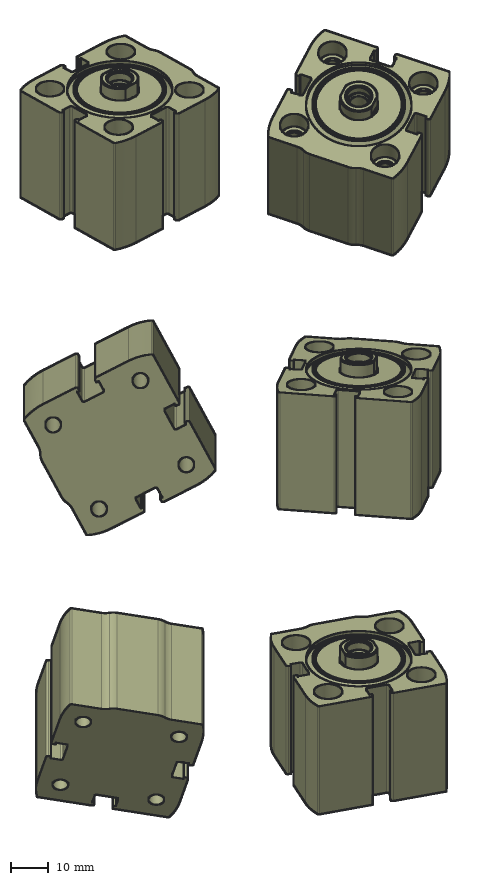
import cadquery as cq
import math

total_height = 37.0
housing_height = 33.5
housing_width = 38.5
housing_length = 39.5

side_flat_half = 12.7
side_arc_radius = 16.0
corner_radius = 0.5
ridge_top_half = 5.53
ridge_foot_half = 9.48

slot_neck_width = 5.0
slot_width = 6.4
slot_depth = 4.5
slot_lip = 1.25
slot_fillet = 0.5
lip_fillet = 0.5

mount_offset = 13.0
mount_hole_diameter = 4.15
mount_chamfer_diameter = 5.0
counterbore_diameter = 7.5
counterbore_depth = 5.53

recess_diameter = 27.8
crest_diameter = 24.5
groove_bottom_diameter = 23.85
rim_diameter = 23.05
cap_diameter = 22.67
cap_drop = 0.2
cone_drop = 1.05
groove_drop = 0.15

rod_diameter = 10.0
shank_diameter = 10.27
rod_flat_width = 9.0
rod_chamfer = 0.25
shoulder_depth = 0.4
rod_length = 19.75
thread_entry_diameter = 7.2
thread_relief_diameter = 6.4
thread_relief_depth = 2.7
thread_diameter = 4.9
thread_step_diameter = 6.0
thread_depth = 12.0
drill_point_angle = 118.0

half_width = housing_width / 2
ridge_height = housing_length - housing_width
rod_bottom = total_height - rod_length
cap_z = housing_height - cap_drop
rod_radius = rod_diameter / 2
shank_radius = shank_diameter / 2
rod_flat_half = rod_flat_width / 2
shoulder_top = cap_z - shoulder_depth
shank_top = shoulder_top - (rod_radius - rod_flat_half)


def revolve_about_z(points):
    """Solid of revolution about Z from a closed outline of (radius, height) points."""
    return cq.Workplane("XZ").polyline(points).close().revolve(360, (0, 0, 0), (0, 1, 0))


def make_profile():
    """Square block with bulged side ends, rounded corners and one low ridge on +Y."""
    arc_rise = half_width - side_flat_half
    arc_inset = side_arc_radius - math.sqrt(side_arc_radius**2 - arc_rise**2)
    corner_x = half_width - arc_inset
    block = (
        cq.Workplane("XY")
        .moveTo(half_width, -side_flat_half)
        .lineTo(half_width, side_flat_half)
        .radiusArc((corner_x, half_width), -side_arc_radius)
        .lineTo(-corner_x, half_width)
        .radiusArc((-half_width, side_flat_half), -side_arc_radius)
        .lineTo(-half_width, -side_flat_half)
        .radiusArc((-corner_x, -half_width), -side_arc_radius)
        .lineTo(corner_x, -half_width)
        .radiusArc((half_width, -side_flat_half), -side_arc_radius)
        .close()
        .extrude(housing_height)
        .edges("|Z and (>Y or <Y)")
        .fillet(corner_radius)
    )
    return block.union(make_ridge())


def make_ridge():
    """Low ridge whose two ends are S-curves of two equal arcs."""
    ridge_y = half_width + ridge_height
    bend_x = (ridge_top_half + ridge_foot_half) / 2
    bend_y = half_width + ridge_height / 2
    run = (ridge_foot_half - ridge_top_half) / 2
    rise = ridge_height / 2
    bend_radius = (run**2 + rise**2) / (2 * rise)
    return (
        cq.Workplane("XY")
        .moveTo(-ridge_foot_half, half_width)
        .radiusArc((-bend_x, bend_y), -bend_radius)
        .radiusArc((-ridge_top_half, ridge_y), bend_radius)
        .lineTo(ridge_top_half, ridge_y)
        .radiusArc((bend_x, bend_y), bend_radius)
        .radiusArc((ridge_foot_half, half_width), -bend_radius)
        .lineTo(ridge_foot_half, half_width - ridge_height)
        .lineTo(-ridge_foot_half, half_width - ridge_height)
        .close()
        .extrude(housing_height)
    )


def make_slot(angle):
    """Cutter for a T-slot in the -Y side, turned about Z by the given angle."""
    groove_depth = slot_depth - slot_lip
    groove = (
        cq.Workplane("XY")
        .center(0, -half_width + slot_lip + groove_depth / 2)
        .rect(slot_width, groove_depth)
        .extrude(housing_height)
        .edges("|Z and >Y")
        .fillet(slot_fillet)
    )
    neck = (
        cq.Workplane("XY")
        .center(0, -half_width + slot_lip / 2)
        .rect(slot_neck_width, slot_lip)
        .extrude(housing_height)
    )
    return groove.union(neck).union(make_lip_rounding()).rotate((0, 0, 0), (0, 0, 1), angle)


def make_lip_rounding():
    """Flared wedge that rounds the two outer edges of the slot neck."""
    mouth_half = slot_neck_width / 2 + lip_fillet
    return (
        cq.Workplane("XY")
        .moveTo(-mouth_half, -half_width)
        .radiusArc((-slot_neck_width / 2, -half_width + lip_fillet), -lip_fillet)
        .lineTo(slot_neck_width / 2, -half_width + lip_fillet)
        .radiusArc((mouth_half, -half_width), -lip_fillet)
        .close()
        .extrude(housing_height)
    )


def make_mount_hole(x, y):
    """Through hole with a deep counterbore and a chamfered edge at its floor."""
    floor_z = housing_height - counterbore_depth
    hole_radius = mount_hole_diameter / 2
    chamfer_radius = mount_chamfer_diameter / 2
    bore_radius = counterbore_diameter / 2
    hole = revolve_about_z(
        [
            (0, 0),
            (hole_radius, 0),
            (hole_radius, floor_z - (chamfer_radius - hole_radius)),
            (chamfer_radius, floor_z),
            (bore_radius, floor_z),
            (bore_radius, housing_height),
            (0, housing_height),
        ]
    )
    return hole.translate((x, y, 0))


def make_collar_recess():
    """Cutter that leaves a ring with a sloped outside, a small V groove and a sunk cap face."""
    cap_radius = cap_diameter / 2
    recess_radius = recess_diameter / 2
    return revolve_about_z(
        [
            (0, cap_z),
            (cap_radius, cap_z),
            (cap_radius, housing_height),
            (rim_diameter / 2, housing_height),
            (groove_bottom_diameter / 2, housing_height - groove_drop),
            (crest_diameter / 2, housing_height),
            (recess_radius, housing_height - cone_drop),
            (recess_radius, total_height),
            (0, total_height),
        ]
    )


def make_rod():
    """Rod with a wider shank below the cap face, two wrench flats and a threaded-hole blank."""
    shank = revolve_about_z(
        [
            (0, rod_bottom),
            (shank_radius, rod_bottom),
            (shank_radius, shank_top),
            (rod_radius, shank_top),
            (rod_flat_half, shoulder_top),
            (0, shoulder_top),
        ]
    )
    end = (
        cq.Workplane("XY", origin=(0, 0, shank_top))
        .circle(rod_radius)
        .extrude(total_height - shank_top)
        .faces(">Z")
        .chamfer(rod_chamfer)
    )
    flats = (
        cq.Workplane("XY", origin=(0, 0, shank_top))
        .rect(rod_flat_width, 2 * rod_diameter)
        .extrude(total_height - shank_top)
    )
    return shank.union(end.intersect(flats)).cut(make_rod_hole())


def make_rod_hole():
    """Chamfered relief, tapered step and core hole with a drill point."""
    entry_radius = thread_entry_diameter / 2
    relief_radius = thread_relief_diameter / 2
    core_radius = thread_diameter / 2
    entry_bottom = total_height - (entry_radius - relief_radius)
    relief_bottom = total_height - thread_relief_depth
    step_radius = thread_step_diameter / 2
    step_bottom = relief_bottom - (step_radius - core_radius)
    core_bottom = total_height - thread_depth
    point_bottom = core_bottom - core_radius / math.tan(math.radians(drill_point_angle / 2))
    return revolve_about_z(
        [
            (0, total_height),
            (entry_radius, total_height),
            (relief_radius, entry_bottom),
            (relief_radius, relief_bottom),
            (step_radius, relief_bottom),
            (core_radius, step_bottom),
            (core_radius, core_bottom),
            (0, point_bottom),
        ]
    )


def make_housing():
    """Block with three slots, four mounting holes, the collar recess and the rod bore."""
    housing = make_profile()
    for angle in (-90, 0, 90):
        housing = housing.cut(make_slot(angle))
    for x in (-mount_offset, mount_offset):
        for y in (-mount_offset, mount_offset):
            housing = housing.cut(make_mount_hole(x, y))
    rod_bore = (
        cq.Workplane("XY", origin=(0, 0, rod_bottom))
        .circle(shank_radius)
        .extrude(total_height - rod_bottom)
    )
    return housing.cut(make_collar_recess()).cut(rod_bore)


housing = make_housing()
rod = make_rod()

result = cq.Compound.makeCompound([housing.val(), rod.val()])